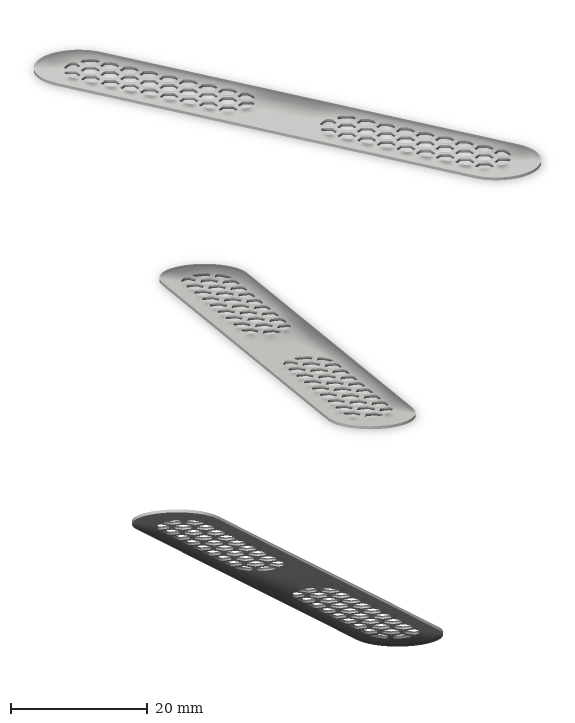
import cadquery as cq
import math

plate_length = 83.2
plate_width = 13.2
plate_thickness = 0.45

window_length = 31.1
window_width = 7.9
window_center_x = 21.5
window_center_y = 0.1

cell_flats = 2.5
cell_wall = 0.8
cell_pitch = cell_flats + cell_wall
cell_corner_diameter = cell_flats / math.cos(math.pi / 6)
row_spacing = cell_pitch * math.sin(math.pi / 3)
outer_row_cells = 9
middle_row_cells = outer_row_cells + 1
honeycomb_offset_x = 0.04
honeycomb_center_x = window_center_x + honeycomb_offset_x
honeycomb_center_y = -0.04


def slot(length, width):
    """Full-round slot along X, as thick as the plate."""
    return cq.Workplane("XY").slot2D(length, width).extrude(plate_thickness)


def cell_prism():
    """One hexagonal cell with corners pointing along +Y and -Y, centred on the origin."""
    hexagon = cq.Workplane("XY").polygon(6, cell_corner_diameter).extrude(plate_thickness)
    return hexagon.rotate((0, 0, 0), (0, 0, 1), 90).val()


def cell_row(count, y):
    """Evenly spaced hexagonal cells along X, centred on X = 0."""
    first_x = -(count - 1) / 2 * cell_pitch
    centers = [(first_x + i * cell_pitch, y) for i in range(count)]
    cell = cell_prism()
    return cq.Workplane("XY").pushPoints(centers).eachpoint(lambda place: cell.moved(place))


def left_grille():
    """Honeycomb openings of the -X grille, trimmed to the window."""
    cells = (
        cell_row(middle_row_cells, 0)
        .add(cell_row(outer_row_cells, row_spacing))
        .add(cell_row(outer_row_cells, -row_spacing))
        .combine()
        .translate((-honeycomb_center_x, honeycomb_center_y, 0))
    )
    window = slot(window_length, window_width).translate((-window_center_x, window_center_y, 0))
    return cells.intersect(window)


openings = left_grille()
result = slot(plate_length, plate_width).cut(openings).cut(openings.mirror("YZ"))